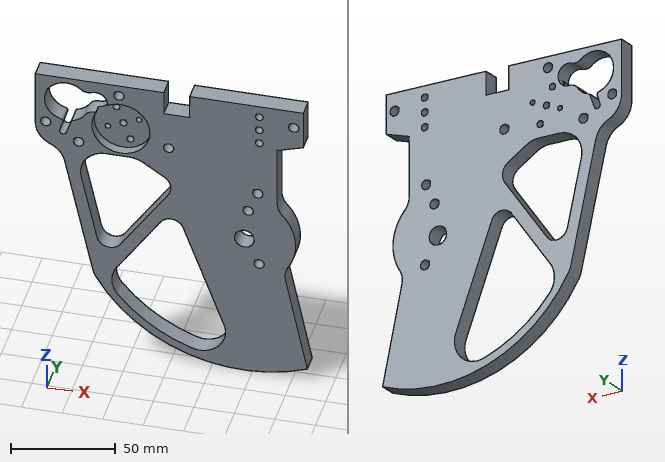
import cadquery as cq
import math

height = 157.0
thickness = 9.5

frame_length = 132.2
notch_left, notch_right = 63.5, 76.1
notch_floor = 144.6
rear_tab_bottom = 136.6
rear_tab_root = 132.7
rear_edge = 119.3

pivot = (103.1, 77.7)
pivot_radius = 4.9
swell_radius = 25.3
swell_blend = 10.0
swell_bottom = (124.7, 64.4)
grip_waist = (123.4, 57.0)
grip_heel = (134.2, 6.1)

bow_radius = 84.6
bow_center = (102.8, bow_radius)
bow_wall = 4.4
large_blend = 12.7
bow_start = (30.0, 42.2)
guard_bottom = (28.4, 46.0)
guard_top = (14.5, 108.2)
shoulder_mid = (7.2, 117.0)
shoulder_top = 128.7

upper_window = [
    (19.2, 115.9, large_blend),
    (50.2, 115.9, large_blend),
    (69.9, 103.0, 7.2),
    (33.6, 51.8, 6.5),
]
lower_window_apex = (68.8, 90.0)
lower_window_apex_radius = 6.3
lower_window_left_slope = 0.706
lower_window_right_slope = 0.374

large_lobe, large_lobe_radius = (15.5, 143.2), 11.0
small_lobe, small_lobe_radius = (29.8, 145.2), 5.8
lobe_blend = 5.0
slot_end = (13.7, 125.6)
slot_radius = 1.7
slot_length = 7.8
slot_angle = 70.0
slot_mouth_corner = (13.5, 132.4)
slot_mouth_blend = 1.5

pocket_center = (42.2, 131.9)
pocket_radius = 14.3
pocket_depth = 5.0
pocket_hole_radius = 1.7
pocket_pin_radius = 1.33
pocket_hole_offset = (3.5, -9.0)
pocket_pin_offset = (7.7, 3.1)

mount_radius = 2.5
mount_holes = [
    (41.3, 151.2), (5.2, 129.7), (21.4, 120.5), (65.8, 124.7),
    (127.5, 147.6), (109.7, 105.5), (105.0, 94.5), (110.4, 64.0),
]
row_radius = 1.9
row_x, row_top, row_pitch, row_count = 110.5, 150.9, 7.7, 3


def sketch_plane():
    """Front face plane with local axes along X and Z."""
    return cq.Workplane("XZ")


def prism(sketch, depth=thickness):
    """Extrude a front-face sketch back into the plate."""
    return sketch.extrude(-depth)


def cylinder(center, radius, depth=thickness):
    return prism(sketch_plane().center(*center).circle(radius), depth)


def round_corner(body, corner, radius):
    """Round the through-thickness edge nearest to a corner."""
    nearest = cq.NearestToPointSelector((corner[0], thickness / 2, corner[1]))
    return body.edges("|Y").edges(nearest).fillet(radius)


def toward(start, target, distance):
    """Point at a distance from start on the line to target."""
    ratio = distance / math.dist(start, target)
    return tuple(s + ratio * (t - s) for s, t in zip(start, target))


def circle_crossings(center_a, radius_a, center_b, radius_b):
    """Both crossing points of two overlapping circles."""
    span = math.dist(center_a, center_b)
    along = (radius_a**2 - radius_b**2 + span**2) / (2 * span)
    half_chord = math.sqrt(radius_a**2 - along**2)
    foot = toward(center_a, center_b, along)
    ux = (center_b[0] - center_a[0]) / span
    uz = (center_b[1] - center_a[1]) / span
    return [
        (foot[0] - side * half_chord * uz, foot[1] + side * half_chord * ux)
        for side in (1, -1)
    ]


def plate_outline():
    reach = rear_edge - pivot[0]
    blend_dx = reach + swell_blend
    blend_dz = math.sqrt((swell_radius + swell_blend) ** 2 - blend_dx**2)
    blend_center = (pivot[0] + blend_dx, pivot[1] + blend_dz)
    swell_top = toward(pivot, blend_center, swell_radius)
    return prism(
        sketch_plane()
        .moveTo(0, height)
        .lineTo(notch_left, height)
        .lineTo(notch_left, notch_floor)
        .lineTo(notch_right, notch_floor)
        .lineTo(notch_right, height)
        .lineTo(frame_length, height)
        .lineTo(frame_length, rear_tab_bottom)
        .lineTo(rear_edge, rear_tab_root)
        .lineTo(rear_edge, blend_center[1])
        .radiusArc(swell_top, -swell_blend)
        .threePointArc((pivot[0] + swell_radius, pivot[1]), swell_bottom)
        .radiusArc(grip_waist, -swell_blend)
        .lineTo(*grip_heel)
        .threePointArc((bow_center[0], 0), bow_start)
        .radiusArc(guard_bottom, large_blend)
        .lineTo(*guard_top)
        .radiusArc(shoulder_mid, -large_blend)
        .radiusArc((0, shoulder_top), large_blend)
        .close()
    )


def upper_window_cut():
    body = prism(sketch_plane().polyline([(x, z) for x, z, _ in upper_window]).close())
    for x, z, radius in upper_window:
        body = round_corner(body, (x, z), radius)
    return body


def lower_window_cut():
    apex_x, apex_z = lower_window_apex
    wedge = prism(
        sketch_plane().polyline([
            lower_window_apex,
            (apex_x - lower_window_left_slope * apex_z, 0),
            (apex_x + lower_window_right_slope * apex_z, 0),
        ]).close()
    )
    body = wedge.intersect(cylinder(bow_center, bow_radius - bow_wall))
    body = round_corner(body, lower_window_apex, lower_window_apex_radius)
    body = body.edges("|Y").edges("<X").fillet(large_blend)
    return body.edges("|Y").edges(">X").fillet(large_blend)


def lobe_cut():
    body = cylinder(large_lobe, large_lobe_radius).union(cylinder(small_lobe, small_lobe_radius))
    for corner in circle_crossings(large_lobe, large_lobe_radius, small_lobe, small_lobe_radius):
        body = round_corner(body, corner, lobe_blend)
    slot = prism(
        sketch_plane()
        .center(*slot_end)
        .transformed(rotate=(0, 0, slot_angle))
        .center(slot_length / 2, 0)
        .rect(slot_length, 2 * slot_radius)
    )
    body = body.union(slot).union(cylinder(slot_end, slot_radius))
    return round_corner(body, slot_mouth_corner, slot_mouth_blend)


def pocket_cut():
    body = cylinder(pocket_center, pocket_radius, pocket_depth)
    body = body.union(cylinder(pocket_center, pocket_hole_radius))
    pairs = [(pocket_hole_offset, pocket_hole_radius), (pocket_pin_offset, pocket_pin_radius)]
    for (dx, dz), radius in pairs:
        for side in (1, -1):
            center = (pocket_center[0] + side * dx, pocket_center[1] + side * dz)
            body = body.union(cylinder(center, radius))
    return body


def hole_cuts():
    row_holes = [(row_x, row_top - i * row_pitch) for i in range(row_count)]
    mounts = prism(sketch_plane().pushPoints(mount_holes).circle(mount_radius))
    row = prism(sketch_plane().pushPoints(row_holes).circle(row_radius))
    return [mounts, row, cylinder(pivot, pivot_radius)]


result = plate_outline()
for cutter in [upper_window_cut(), lower_window_cut(), lobe_cut(), pocket_cut(), *hole_cuts()]:
    result = result.cut(cutter)